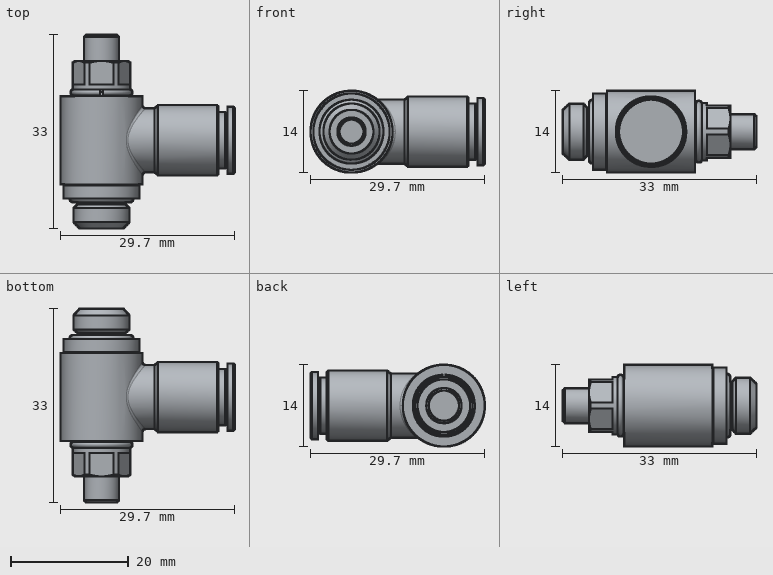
import cadquery as cq

total_length = 33.0
body_radius = 7.0
body_front = 7.53
body_back = 22.55
branch_y = (body_front + body_back) / 2

thread_radius = 4.8
thread_back = 3.5
nose_radius = 3.73
nose_length = 1.12
neck_radius = 4.13
neck_front = 4.13
seal_radius = 5.45
seal_center_radius = (neck_radius + seal_radius) / 2
seal_section_radius = (seal_radius - neck_radius) / 2
collar_front = 5.12
collar_radius = 6.5
collar_chamfer = 0.15

land_step_y = 23.27
land_front_radius = 4.62
land_back_radius = 4.42
nut_front = 23.7
nut_back = 28.55
nut_radius = 4.92
flat_front = 24.55
flat_distance = 4.5
flat_count = 6
nut_chamfer_length = 0.3
spindle_radius = 3.0
spindle_chamfer = 0.43

ring_section_radius = 0.53
ring_outer_radius = 5.28
ring_gap_angle = 6.0

bore_radius = 2.05
bore_mouth_radius = 2.4
bore_chamfer_length = 0.23

branch_radius = 5.48
branch_end = 9.0
branch_blend = 0.45
sleeve_radius = 6.0
sleeve_edge_radius = 5.68
sleeve_front = 9.35
sleeve_back = 19.95
sleeve_chamfer_length = 0.3
collet_radius = 4.82
collet_groove_radius = 4.65
collet_back = 21.03
collet_chamfer_length = 0.2
disc_front = 21.42
branch_length = 22.7
disc_radius = 5.75
disc_chamfer = 0.3


def make_body():
    return cq.Workplane("XZ", origin=(0, body_front, 0)).circle(body_radius).extrude(body_front - body_back)


def make_branch_stub():
    return cq.Workplane("YZ", origin=(0, branch_y, 0)).circle(branch_radius).extrude(branch_end)


def make_blended_tee():
    """Body and branch stub with the edge between them blended."""
    tee = make_body().union(make_branch_stub())
    seam = tee.edges("not(%LINE or %CIRCLE)")
    return seam.fillet(branch_blend)


def make_front_end():
    """Thread, neck, seal and collar, revolved about Y."""
    profile = (
        cq.Workplane("XY")
        .moveTo(0, 0)
        .lineTo(nose_radius, 0)
        .lineTo(thread_radius, nose_length)
        .lineTo(thread_radius, thread_back)
        .lineTo(neck_radius, neck_front)
        .lineTo(neck_radius, collar_front)
        .threePointArc((seal_center_radius, collar_front - seal_section_radius), (seal_radius, collar_front))
        .lineTo(collar_radius, collar_front)
        .lineTo(collar_radius, body_front - collar_chamfer)
        .lineTo(collar_radius - collar_chamfer, body_front)
        .lineTo(0, body_front)
        .close()
    )
    return profile.revolve(360, (0, 0, 0), (0, 1, 0))


def make_back_end():
    """Land, hexagon base and spindle, revolved about Y."""
    profile = (
        cq.Workplane("XY")
        .moveTo(0, body_back)
        .lineTo(land_front_radius, body_back)
        .lineTo(land_front_radius, land_step_y)
        .lineTo(land_back_radius, land_step_y)
        .lineTo(land_back_radius, nut_front)
        .lineTo(nut_radius, nut_front)
        .lineTo(nut_radius, nut_back - nut_chamfer_length)
        .lineTo(flat_distance, nut_back)
        .lineTo(spindle_radius, nut_back)
        .lineTo(spindle_radius, total_length - spindle_chamfer)
        .lineTo(spindle_radius - spindle_chamfer, total_length)
        .lineTo(0, total_length)
        .close()
    )
    return profile.revolve(360, (0, 0, 0), (0, 1, 0))


def cut_wrench_flats(part):
    """Mill the flats, with the first one facing +Z."""
    cutter_width = 2 * nut_radius
    cutter_height = nut_radius
    cutter = (
        cq.Workplane("XY", origin=(0, flat_front, flat_distance))
        .box(cutter_width, nut_back - flat_front, cutter_height, centered=(True, False, False))
    )
    for i in range(flat_count):
        part = part.cut(cutter.rotate((0, 0, 0), (0, 1, 0), i * 360 / flat_count))
    return part


def make_snap_ring():
    """Round-section ring with its gap facing +Z."""
    center_radius = ring_outer_radius - ring_section_radius
    center_y = nut_front - ring_section_radius
    section = cq.Workplane("XY").moveTo(center_radius, center_y).circle(ring_section_radius)
    ring = section.revolve(360 - ring_gap_angle, (0, 0, 0), (0, 1, 0))
    return ring.rotate((0, 0, 0), (0, 1, 0), -90 + ring_gap_angle / 2)


def make_sleeve():
    """Push-in sleeve, collet and release disc, revolved about the branch axis."""
    profile = (
        cq.Workplane("XY", origin=(0, branch_y, 0))
        .moveTo(branch_end, 0)
        .lineTo(branch_end, branch_radius)
        .lineTo(sleeve_front, sleeve_edge_radius)
        .lineTo(sleeve_front + sleeve_chamfer_length, sleeve_radius)
        .lineTo(sleeve_back - sleeve_chamfer_length, sleeve_radius)
        .lineTo(sleeve_back, sleeve_edge_radius)
        .lineTo(sleeve_back, collet_radius)
        .lineTo(collet_back, collet_radius)
        .lineTo(collet_back + collet_chamfer_length, collet_groove_radius)
        .lineTo(disc_front, collet_groove_radius)
        .lineTo(disc_front, disc_radius)
        .lineTo(branch_length - disc_chamfer, disc_radius)
        .lineTo(branch_length, disc_radius - disc_chamfer)
        .lineTo(branch_length, 0)
        .close()
    )
    return profile.revolve(360, (0, 0, 0), (1, 0, 0))


def make_bore():
    """Blind flow bore with a chamfered mouth, ending at the branch axis."""
    profile = (
        cq.Workplane("XY")
        .moveTo(0, 0)
        .lineTo(bore_mouth_radius, 0)
        .lineTo(bore_radius, bore_chamfer_length)
        .lineTo(bore_radius, branch_y)
        .lineTo(0, branch_y)
        .close()
    )
    return profile.revolve(360, (0, 0, 0), (0, 1, 0))


back_end = cut_wrench_flats(make_back_end()).union(make_snap_ring())
fitting = make_blended_tee().union(make_front_end()).union(back_end).union(make_sleeve())
result = fitting.cut(make_bore())